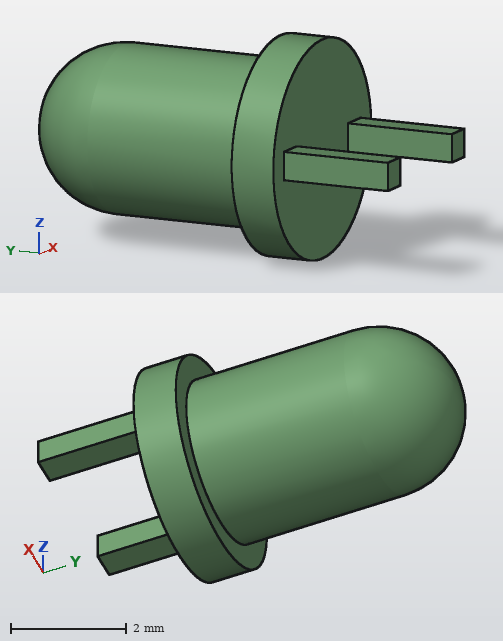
import cadquery as cq

total_length = 7.3
lead_length = 2.0
flange_thickness = 0.8
flange_diameter = 3.9
body_diameter = 3.0
lead_width = 0.505
lead_pitch = 2.54

body_radius = body_diameter / 2
flange_radius = flange_diameter / 2
tip_y = total_length - lead_length
dome_start_y = tip_y - body_radius
dome_mid = body_radius * 0.5 ** 0.5


def make_housing():
    """Flange, cylindrical body and dome, revolved about the Y axis."""
    profile = (
        cq.Workplane("XY")
        .lineTo(flange_radius, 0)
        .lineTo(flange_radius, flange_thickness)
        .lineTo(body_radius, flange_thickness)
        .lineTo(body_radius, dome_start_y)
        .threePointArc((dome_mid, dome_start_y + dome_mid), (0, tip_y))
        .close()
    )
    return profile.revolve(360, (0, 0, 0), (0, 1, 0))


def make_leads():
    """Two square leads that extend from the flange toward -Y."""
    return (
        cq.Workplane("XZ")
        .pushPoints([(-lead_pitch / 2, 0), (lead_pitch / 2, 0)])
        .rect(lead_width, lead_width)
        .extrude(lead_length)
    )


result = make_housing().union(make_leads())